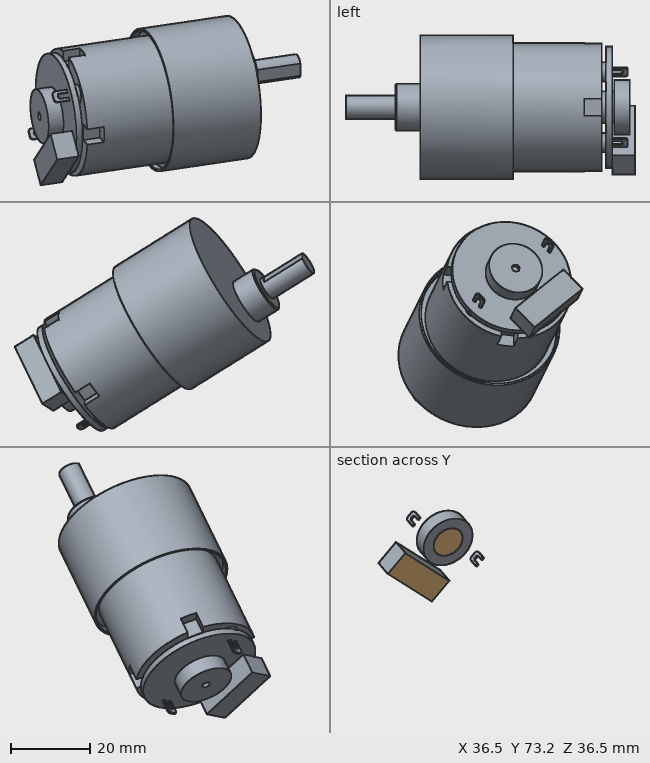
import cadquery as cq


gearbox_diameter = 36.5
gearbox_length = 23.5
recess_diameter = 35.5
recess_depth = 1.75

output_offset = 7.25
boss_diameter = 12.0
boss_length = 6.3
boss_chamfer = 0.4
shaft_diameter = 6.0
shaft_reach = 18.8
flat_depth = 0.5
flat_start = boss_length + 0.9

can_diameter = 32.6
can_length = 22.5
notch_width = 4.25
notch_length = 4.5
notch_floor_radius = 13.2
notch_angles = (0, 90, 180, 270)

spacer_diameter = 5.0
spacer_length = 1.0
board_diameter = 30.8
board_thickness = 1.6
hub_diameter = 8.2

disc_diameter = 13.8
disc_gap = 0.45
disc_thickness = 4.0
disc_hole_diameter = 2.0
disc_hole_depth = 1.0

tab_angles = (45, 225)
tab_circle_radius = 12.7
tab_width = 2.9
tab_thickness = 0.5
tab_length = 3.95
tab_corner_radius = 0.8
tab_slot_width = 1.4
tab_slot_radius = 0.6
tab_slot_end = 2.7

connector_radius = 11.8
connector_width = 17.65
connector_height = 7.0
connector_angle = -45

overall_length = 73.2
gearbox_rear = -gearbox_length
can_rear = gearbox_rear - can_length
board_front = can_rear - spacer_length
board_rear = board_front - board_thickness
disc_front = board_rear - disc_gap
disc_rear = disc_front - disc_thickness
connector_rear = shaft_reach - overall_length


def cylinder(diameter, y_start, y_end, x=0):
    """Cylinder along Y between two stations, centred on X = x, Z = 0."""
    base = cq.Workplane("XZ", origin=(x, y_start, 0))
    return base.circle(diameter / 2).extrude(y_start - y_end)


def block(size_x, size_z, y_start, y_end, x=0):
    """Rectangular block between two stations, centred on X = x, Z = 0."""
    base = cq.Workplane("XZ", origin=(x, y_start, 0))
    return base.rect(size_x, size_z).extrude(y_start - y_end)


def turn(body, angle):
    """Turn a body about the motor axis, from +X towards +Z."""
    return body.rotate((0, 0, 0), (0, 1, 0), -angle)


def make_gearbox():
    housing = cylinder(gearbox_diameter, 0, gearbox_rear)
    recess = cylinder(recess_diameter, gearbox_rear + recess_depth, gearbox_rear)
    return housing.cut(recess)


def make_output():
    boss = cylinder(boss_diameter, 0, boss_length, x=-output_offset)
    boss = boss.faces(">Y").chamfer(boss_chamfer)
    shaft = cylinder(shaft_diameter, 0, shaft_reach, x=-output_offset)
    flat_x = -output_offset + shaft_diameter - flat_depth
    flat = block(shaft_diameter, shaft_diameter, flat_start, shaft_reach, x=flat_x)
    return boss.union(shaft.cut(flat))


def make_can():
    can = cylinder(can_diameter, gearbox_rear + recess_depth, can_rear)
    notch_depth = can_diameter / 2 - notch_floor_radius
    notch_x = notch_floor_radius + notch_depth / 2
    notch = block(notch_depth, notch_width, can_rear + notch_length, can_rear, x=notch_x)
    for angle in notch_angles:
        can = can.cut(turn(notch, angle))
    return can


def make_tab():
    """Slotted, flat tab standing off the board at angle zero."""
    tab = block(tab_thickness, tab_width, board_rear, board_rear - tab_length, x=tab_circle_radius)
    tab = tab.faces("<Y").edges("|X").fillet(tab_corner_radius)
    slot = block(tab_width, tab_slot_width, board_rear, board_rear - tab_slot_end, x=tab_circle_radius)
    slot = slot.faces("<Y").edges("|X").fillet(tab_slot_radius)
    return tab.cut(slot)


def make_encoder():
    encoder = cylinder(board_diameter, board_front, board_rear)
    encoder = encoder.union(cylinder(hub_diameter, can_rear, disc_front))
    disc = cylinder(disc_diameter, disc_front, disc_rear)
    disc_hole = cylinder(disc_hole_diameter, disc_rear + disc_hole_depth, disc_rear)
    encoder = encoder.union(disc.cut(disc_hole))
    spacer = cylinder(spacer_diameter, can_rear, board_front, x=tab_circle_radius)
    for angle in tab_angles:
        encoder = encoder.union(turn(spacer, angle)).union(turn(make_tab(), angle))
    connector = block(connector_height, connector_width, board_rear, connector_rear, x=connector_radius)
    return encoder.union(turn(connector, connector_angle))


result = make_gearbox().union(make_output()).union(make_can()).union(make_encoder())